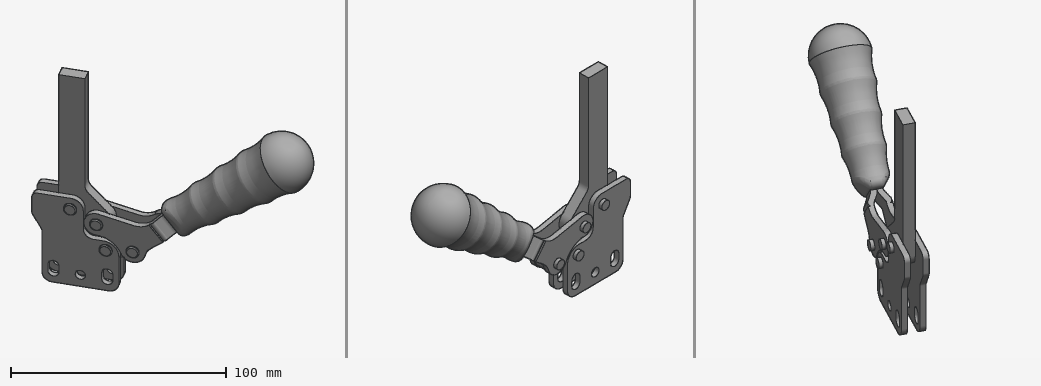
import cadquery as cq
import math


OUTER_HALF = 6.0
PLATE = OUTER_HALF / 2
GAP_HALF = OUTER_HALF - PLATE
FAR = 267.3
NEAR = 0.01

ARM_PIVOT = (18.6, 42.9)
LEVER_PIVOT = (31.1, 36.5)
BASE_LINK_PIVOT = (35.7, 22.9)
LEVER_LINK_PIVOT = (48.6, 24.3)
PIVOTS = (ARM_PIVOT, LEVER_PIVOT, BASE_LINK_PIVOT, LEVER_LINK_PIVOT)
PIN_DIA = 5.2
PIN_TAIL = 2.0
HEAD_DIA = 6.3
HEAD_HEIGHT = 1.1
HEAD_CHAMFER = 0.5
EYE_R = 6.0
LINK_R = 5.5

FOOT_LEFT, FOOT_RIGHT = 5.0, 42.0
FOOT_CORNER_R = 5.0
TOP_CORNER_R = 3.0
NOTCH_TOP = 37.3
NOTCH_ANGLE = 30
NOTCH_R = 3.0
POCKET_X = ARM_PIVOT[0] + EYE_R + 0.3
POCKET_Z = 27.8
POCKET_R = 5.0
SHOULDER_R = 7.5
FOOT_MID = (FOOT_LEFT + FOOT_RIGHT) / 2
SLOT_OFFSET = 13.0
SLOT_WIDTH, SLOT_LENGTH = 5.3, 8.7
SLOT_Z = 7.9
FOOT_HOLE_DIA = 5.0
FOOT_HOLE_Z = 6.5

BAR_LEFT, BAR_RIGHT = 12.2, 24.9
BAR_TOP = 115.6
ARM_EYE_R = 7.2
BAR_EYE_R = (BAR_RIGHT - BAR_LEFT) / 2
BAR_EYE = (BAR_LEFT + BAR_EYE_R, 40.0)
ARM_SLOPE = 45
ARM_FILLET_R = 5.0

HANDLE_ANGLE = 38.5
BALL_R = 30.0 / 2
PART_LENGTH = 133.6
BALL = (PART_LENGTH - BALL_R, 83.3)
NECK_HALF = 5.3
BEND_START = -75.1
BEND_ANGLE = 30
BEND_INNER_R = GAP_HALF
TOP_FALL = 11
THROAT_R = 10.0
BELLY_R = 13.4
HEEL_R = 10.0

RIDGES = 4
RIDGE_PITCH = 15.6
GRIP_TAPER = 5.6
RIDGE_STEP = GRIP_TAPER / RIDGES
VALLEY_SHIFT = 10.4
VALLEY_DEPTH = 1.9
RIDGE_FILLET = 2.7
GRIP_END = -67.6
FLAT_END_Y = 3.2
FLAT_ANGLE = 40
FLAT_DEPTH = 8.0
END_FILLET = 3.3
STRIP_INSERT = 6.7


def polar(center, radius, angle):
    """Point at a distance and direction (degrees) from a centre."""
    a = math.radians(angle)
    return (center[0] + radius * math.cos(a), center[1] + radius * math.sin(a))


def heading(start, end):
    """Direction in degrees from one point to another."""
    return math.degrees(math.atan2(end[1] - start[1], end[0] - start[0]))


def reach(point, angle):
    """Distance of a point from the origin along a direction."""
    a = math.radians(angle)
    return point[0] * math.cos(a) + point[1] * math.sin(a)


def lines_meet(angle1, reach1, angle2, reach2):
    """Crossing of two lines, each given by its normal angle and its reach."""
    a, b = math.radians(angle1), math.radians(angle2)
    det = math.sin(b - a)
    x = (reach1 * math.sin(b) - reach2 * math.sin(a)) / det
    z = (reach2 * math.cos(a) - reach1 * math.cos(b)) / det
    return (x, z)


def arc_on(outline, center, radius, angle1, angle2):
    """Arc about a centre, carrying on from the current point."""
    middle = polar(center, radius, (angle1 + angle2) / 2)
    return outline.threePointArc(middle, polar(center, radius, angle2))


def arc(outline, center, radius, angle1, angle2):
    """Line to the start of an arc, then the arc itself."""
    return arc_on(outline.lineTo(*polar(center, radius, angle1)), center, radius, angle1, angle2)


def plate_pair(outline):
    """Two equal plates, one on each side of the arm."""
    gap = cq.Workplane("XY").box(FAR, 2 * GAP_HALF, FAR * 2)
    return outline.extrude(OUTER_HALF, both=True).cut(gap)


def make_base():
    """Two base plates with rounded corners, mounting slots and a hole."""
    eye_top = ARM_PIVOT[1] + EYE_R
    corner = (TOP_CORNER_R, eye_top - TOP_CORNER_R)
    eye = (POCKET_X - EYE_R, ARM_PIVOT[1])
    pocket = (POCKET_X + POCKET_R, POCKET_Z + POCKET_R)
    shoulder = (FOOT_RIGHT - SHOULDER_R, POCKET_Z - SHOULDER_R)
    notch_bottom = NOTCH_TOP - FOOT_LEFT / math.tan(math.radians(NOTCH_ANGLE))
    notch_tangent = NOTCH_R * math.tan(math.radians(NOTCH_ANGLE / 2))
    step_inner = (FOOT_LEFT - NOTCH_R, notch_bottom - notch_tangent)
    step_outer = (NOTCH_R, NOTCH_TOP + notch_tangent)
    outline = cq.Workplane("XZ").moveTo(FOOT_LEFT, step_inner[1])
    outline = arc_on(outline, step_inner, NOTCH_R, 0, NOTCH_ANGLE)
    outline = arc(outline, step_outer, NOTCH_R, 180 + NOTCH_ANGLE, 180)
    outline = arc(outline, corner, TOP_CORNER_R, 180, 90)
    outline = arc(outline, eye, EYE_R, 90, 0)
    outline = arc(outline, pocket, POCKET_R, 180, 270)
    outline = arc(outline, shoulder, SHOULDER_R, 90, 0)
    outline = arc(outline, (FOOT_RIGHT - FOOT_CORNER_R, FOOT_CORNER_R), FOOT_CORNER_R, 0, -90)
    outline = arc(outline, (FOOT_LEFT + FOOT_CORNER_R, FOOT_CORNER_R), FOOT_CORNER_R, -90, -180)
    base = plate_pair(outline.close())
    slots = (
        cq.Workplane("XZ")
        .pushPoints([(FOOT_MID - SLOT_OFFSET, SLOT_Z), (FOOT_MID + SLOT_OFFSET, SLOT_Z)])
        .slot2D(SLOT_LENGTH, SLOT_WIDTH, 90)
        .extrude(FAR, both=True)
    )
    hole = (
        cq.Workplane("XZ")
        .center(FOOT_MID, FOOT_HOLE_Z)
        .circle(FOOT_HOLE_DIA / 2)
        .extrude(FAR, both=True)
    )
    return base.cut(slots).cut(hole)


def lower_tangent_angle(center1, radius1, center2, radius2):
    """Normal angle of the line touching two circles from below, left to right."""
    spread = math.degrees(math.asin((radius2 - radius1) / math.dist(center1, center2)))
    return heading(center1, center2) - 90 - spread


def make_arm():
    """Upright bar with a sloping foot reaching to the lever pivot."""
    slope_reach = reach(LEVER_PIVOT, ARM_SLOPE) + ARM_EYE_R
    corner = lines_meet(0, BAR_RIGHT + ARM_FILLET_R, ARM_SLOPE, slope_reach + ARM_FILLET_R)
    under = lower_tangent_angle(BAR_EYE, BAR_EYE_R, LEVER_PIVOT, ARM_EYE_R)
    outline = cq.Workplane("XZ").moveTo(BAR_LEFT, BAR_TOP).lineTo(BAR_RIGHT, BAR_TOP)
    outline = arc(outline, corner, ARM_FILLET_R, 180, 180 + ARM_SLOPE)
    outline = arc(outline, LEVER_PIVOT, ARM_EYE_R, ARM_SLOPE, under)
    outline = arc(outline, BAR_EYE, BAR_EYE_R, under, -180)
    return outline.close().extrude(GAP_HALF, both=True)


def make_link():
    """Round-ended link between the base and the lever."""
    tilt = heading(BASE_LINK_PIVOT, LEVER_LINK_PIVOT)
    outline = cq.Workplane("XZ").moveTo(*polar(BASE_LINK_PIVOT, LINK_R, tilt - 90))
    outline = arc(outline, LEVER_LINK_PIVOT, LINK_R, tilt - 90, tilt + 90)
    outline = arc(outline, BASE_LINK_PIVOT, LINK_R, tilt + 90, tilt + 270)
    return outline.close().extrude(GAP_HALF, both=True)


def make_lever_plates():
    """Two lever plates from the pivots up to the start of the neck bend."""
    upper, lower = HANDLE_ANGLE + 90, HANDLE_ANGLE - 90
    top_normal = 90 - TOP_FALL
    neck = polar(BALL, BEND_START, HANDLE_ANGLE)

    throat = lines_meet(
        top_normal, reach(LEVER_PIVOT, top_normal) + EYE_R + THROAT_R,
        upper, reach(BALL, upper) + NECK_HALF + THROAT_R,
    )
    heel_side = reach(BALL, lower) + NECK_HALF + HEEL_R - reach(LEVER_LINK_PIVOT, lower)
    heel_along = math.sqrt((EYE_R + HEEL_R) ** 2 - heel_side ** 2)
    heel = polar(polar(LEVER_LINK_PIVOT, heel_side, lower), heel_along, HANDLE_ANGLE)
    heel_angle = heading(LEVER_LINK_PIVOT, heel)
    half_span = math.dist(LEVER_PIVOT, LEVER_LINK_PIVOT) / 2
    span_angle = heading(LEVER_PIVOT, LEVER_LINK_PIVOT)
    belly_turn = math.degrees(math.acos(half_span / (EYE_R + BELLY_R)))
    belly_from_eye = span_angle - belly_turn
    belly_from_link = span_angle + 180 + belly_turn
    belly = polar(LEVER_PIVOT, EYE_R + BELLY_R, belly_from_eye)

    outline = cq.Workplane("XZ").moveTo(*polar(LEVER_PIVOT, EYE_R, top_normal))
    outline = arc(outline, throat, THROAT_R, top_normal - 180, upper - 180)
    outline = outline.lineTo(*polar(neck, NECK_HALF, upper)).lineTo(*polar(neck, NECK_HALF, lower))
    outline = arc(outline, heel, HEEL_R, lower + 180, heel_angle + 180)
    outline = arc_on(outline, LEVER_LINK_PIVOT, EYE_R, heel_angle, belly_from_link - 360)
    outline = arc_on(outline, belly, BELLY_R, belly_from_link - 180, belly_from_eye + 180)
    outline = arc_on(outline, LEVER_PIVOT, EYE_R, belly_from_eye, top_normal - 360)
    return plate_pair(outline.close())


def handle_section(normal):
    """Workplane at the ball centre with its x direction along the handle axis."""
    a = math.radians(HANDLE_ANGLE)
    along = (math.cos(a), 0, math.sin(a))
    return cq.Workplane(cq.Plane((BALL[0], 0, BALL[1]), along, normal))


def across_handle():
    """Section plane holding the handle axis and Y."""
    a = math.radians(HANDLE_ANGLE)
    return handle_section((-math.sin(a), 0, math.cos(a)))


def make_bend():
    """Neck strips bent inwards until they meet on the middle plane."""
    bend = math.radians(BEND_ANGLE)
    outer_r = BEND_INNER_R + PLATE
    drop = (outer_r + BEND_INNER_R) * (1 - math.cos(bend))
    run = (outer_r + BEND_INNER_R) * math.sin(bend)
    length = run + (GAP_HALF - drop) / math.tan(bend)
    first = (BEND_START, OUTER_HALF - outer_r)
    second = (BEND_START + length, PLATE + BEND_INNER_R)
    outline = across_handle().moveTo(BEND_START, GAP_HALF)
    outline = arc_on(outline, first, outer_r, 90, 90 - BEND_ANGLE)
    outline = arc(outline, second, BEND_INNER_R, 270 - BEND_ANGLE, 270)
    outline = outline.lineTo(GRIP_END + STRIP_INSERT, PLATE).lineTo(GRIP_END + STRIP_INSERT, 0)
    outline = arc(outline, second, outer_r, 270, 270 - BEND_ANGLE)
    outline = arc(outline, first, BEND_INNER_R, 90 - BEND_ANGLE, 90)
    strip = outline.close().extrude(NECK_HALF, both=True)
    return strip.union(strip.mirror("XZ"))


def valley_arc_to(outline, end, ridge, valley):
    """Arc between a ridge and a valley, level with the axis at the valley."""
    run, rise = ridge[0] - valley[0], ridge[1] - valley[1]
    radius = (run ** 2 + rise ** 2) / (2 * rise)
    middle_r = valley[1] + radius - math.sqrt(radius ** 2 - (run / 2) ** 2)
    return outline.threePointArc((valley[0] + run / 2, middle_r), end)


def make_flats():
    """Two wedges that leave sloping flats on the sides of the grip end."""
    spread = FLAT_DEPTH * math.tan(math.radians(FLAT_ANGLE))
    wedge = (
        across_handle()
        .moveTo(GRIP_END, FLAT_END_Y)
        .lineTo(GRIP_END + FLAT_DEPTH, FLAT_END_Y + spread)
        .lineTo(GRIP_END, FLAT_END_Y + spread)
        .close()
        .extrude(BALL_R, both=True)
    )
    return wedge.union(wedge.mirror("XZ"))


def make_grip():
    """Turned grip with a ball end, ridges, valleys and flats at the neck."""
    ridges = [(-RIDGE_PITCH * i, BALL_R - RIDGE_STEP * i) for i in range(RIDGES + 1)]
    profile = handle_section((0, -1, 0)).moveTo(BALL_R, 0)
    profile = arc_on(profile, (0, 0), BALL_R, 0, 90)
    for ridge, next_ridge in zip(ridges, ridges[1:]):
        valley = (ridge[0] - VALLEY_SHIFT, ridge[1] - VALLEY_DEPTH)
        profile = valley_arc_to(profile, valley, ridge, valley)
        profile = valley_arc_to(profile, next_ridge, next_ridge, valley)
    profile = profile.lineTo(GRIP_END, ridges[-1][1]).lineTo(GRIP_END, 0).close()
    grip = profile.revolve(360, (0, 0), (1, 0))

    ridge_radii = [radius for _, radius in ridges[1:-1]]

    def is_ridge(edge):
        return edge.geomType() == "CIRCLE" and min(abs(edge.radius() - r) for r in ridge_radii) < NEAR

    grip = grip.edges().filter(is_ridge).fillet(RIDGE_FILLET)
    return grip.cut(make_flats()).faces("%PLANE").edges().fillet(END_FILLET)


def make_pins():
    """Pivot pins with chamfered heads on the -Y side."""
    tail_end = OUTER_HALF + PIN_TAIL
    pins = cq.Workplane("XZ", origin=(0, tail_end, 0)).pushPoints(PIVOTS)
    pins = pins.circle(PIN_DIA / 2).extrude(tail_end + OUTER_HALF)
    heads = (
        cq.Workplane("XZ", origin=(0, -OUTER_HALF, 0))
        .pushPoints(PIVOTS)
        .circle(HEAD_DIA / 2)
        .extrude(HEAD_HEIGHT)
        .faces("<Y")
        .chamfer(HEAD_CHAMFER)
    )
    return pins.union(heads)


result = make_base()
for piece in (make_arm(), make_link(), make_lever_plates(), make_bend(), make_grip(), make_pins()):
    result = result.union(piece)